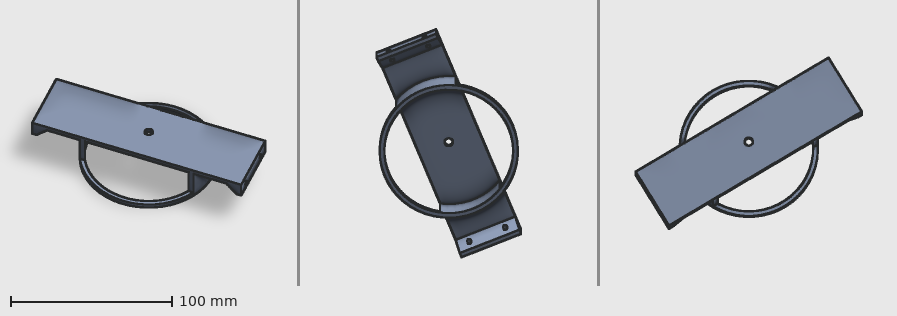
import cadquery as cq

length = 140.0
width = 40.0
total_height = 23.0
plate_thickness = 3.0
centre_hole_diameter = 5.0

ring_outer_diameter = 86.0
ring_inner_diameter = 80.0
ring_height = 3.0

foot_height = 10.0
foot_tip_length = 3.0
foot_root_length = 10.0

pin_hole_diameter = 2.5
pin_hole_spacing = 24.1
pin_hole_drop = 6.2

plate_bottom = total_height - plate_thickness
half_length = length / 2


def ring(height):
    """Circular band standing on Z = 0."""
    return (
        cq.Workplane("XY")
        .circle(ring_outer_diameter / 2)
        .circle(ring_inner_diameter / 2)
        .extrude(height)
    )


def plate_with_feet():
    """Flat plate with a sloped foot at each end, as one profile along Y."""
    foot_bottom = total_height - foot_height
    tip_x = half_length - foot_tip_length
    root_x = half_length - foot_root_length
    return (
        cq.Workplane("XZ")
        .moveTo(0, total_height)
        .lineTo(half_length, total_height)
        .lineTo(half_length, foot_bottom)
        .lineTo(tip_x, foot_bottom)
        .lineTo(root_x, plate_bottom)
        .lineTo(0, plate_bottom)
        .mirrorY()
        .extrude(width / 2, both=True)
    )


def ring_supports():
    """Curved walls joining the ring to the plate, cut to the plate width."""
    plate_strip = cq.Workplane("XY").box(
        length, width, total_height, centered=(True, True, False)
    )
    return ring(plate_bottom).intersect(plate_strip)


def centre_hole():
    """Vertical hole through the middle of the plate."""
    return cq.Workplane("XY").circle(centre_hole_diameter / 2).extrude(total_height)


def pin_holes():
    """Lengthwise holes through both feet, below the plate."""
    hole_z = total_height - pin_hole_drop
    hole_y = pin_hole_spacing / 2
    return (
        cq.Workplane("YZ")
        .pushPoints([(-hole_y, hole_z), (hole_y, hole_z)])
        .circle(pin_hole_diameter / 2)
        .extrude(half_length, both=True)
    )


result = (
    plate_with_feet()
    .cut(pin_holes())
    .union(ring_supports())
    .union(ring(ring_height))
    .cut(centre_hole())
)